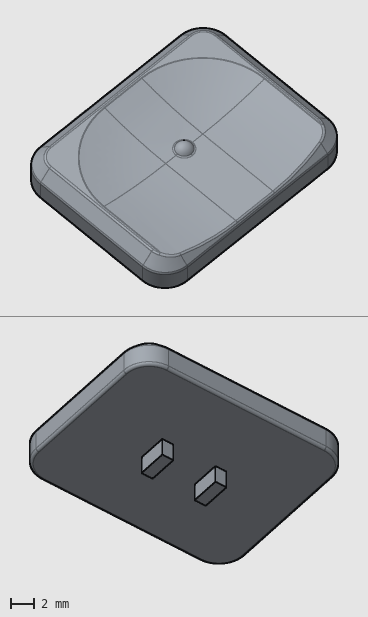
import cadquery as cq
import math

LENGTH_X = 18.0
LENGTH_Y = 22.5
BODY_HEIGHT = 3.5
CORNER_RADIUS = 2.75
TOP_CHAMFER = 1.2
EDGE_RADIUS = 0.3

DISH_DEPTH = 0.9
DISH_RADIUS = 7.5
DISH_HALF_FLAT = 2.25
DISH_ARC_RADIUS = (DISH_RADIUS**2 + DISH_DEPTH**2) / (2 * DISH_DEPTH)
DISH_FLOOR = BODY_HEIGHT - DISH_DEPTH

DOT_SPHERE_RADIUS = 1.0
DOT_HEIGHT = 0.56
DOT_TOP = DISH_FLOOR + DOT_HEIGHT
DOT_FILLET = 0.18

LEG_X = 2.97
LEG_Y = 1.2
LEG_HEIGHT = 1.82
LEG_SPACING = 5.74

TOLERANCE = 0.002


def make_body():
    """Rounded block with a chamfered top edge."""
    return (
        cq.Workplane("XY")
        .box(LENGTH_X, LENGTH_Y, BODY_HEIGHT, centered=(True, True, False))
        .edges("|Z").fillet(CORNER_RADIUS)
        .faces(">Z").edges().chamfer(TOP_CHAMFER)
    )


def half_bowl_profile(plane):
    """Half section of the dish: deepest at local x = 0 and rising along local -X to the top."""
    half_angle = math.asin(DISH_RADIUS / DISH_ARC_RADIUS) / 2
    middle = (
        -DISH_ARC_RADIUS * math.sin(half_angle),
        DISH_FLOOR + DISH_ARC_RADIUS * (1 - math.cos(half_angle)),
    )
    return (
        plane.moveTo(0, DISH_FLOOR)
        .threePointArc(middle, (-DISH_RADIUS, BODY_HEIGHT))
        .lineTo(0, BODY_HEIGHT)
        .close()
    )


def make_dish():
    """Cutter for the dish, built from bowl quarters, a trough between them and the run-out to +X."""
    trough = half_bowl_profile(cq.Workplane("XZ")).extrude(DISH_HALF_FLAT, both=True)
    run_out = (
        cq.Workplane("XY", origin=(0, 0, DISH_FLOOR))
        .box(LENGTH_X / 2, 2 * DISH_HALF_FLAT, DISH_DEPTH, centered=(False, True, False))
    )
    dish = trough.union(run_out)

    bowl = half_bowl_profile(cq.Workplane("XZ")).revolve(90, (0, 0), (0, 1))
    slope = half_bowl_profile(cq.Workplane("YZ")).extrude(LENGTH_X / 2)
    front_side = bowl.union(slope).translate((0, -DISH_HALF_FLAT, 0))
    return dish.union(front_side).union(front_side.mirror("XZ"))


def make_dot():
    """Sphere sunk into the dish floor so that only its cap stands proud."""
    return cq.Workplane("XY").sphere(DOT_SPHERE_RADIUS).translate((0, 0, DOT_TOP - DOT_SPHERE_RADIUS))


def make_legs():
    """Two rectangular legs spaced along Y, hanging from the underside."""
    return (
        cq.Workplane("XY")
        .pushPoints([(0, -LEG_SPACING / 2), (0, LEG_SPACING / 2)])
        .rect(LEG_X, LEG_Y)
        .extrude(-LEG_HEIGHT)
    )


def is_outer_edge(edge):
    """True for the level edges around the body and dish, and the rim where the dish runs out at +X."""
    bounds = edge.BoundingBox()
    level = bounds.zlen < TOLERANCE and abs(bounds.zmin - DISH_FLOOR) > TOLERANCE
    at_run_out = edge.Center().x > LENGTH_X / 2 - CORNER_RADIUS
    run_out_rim = at_run_out and bounds.zmin > DISH_FLOOR - TOLERANCE and bounds.ylen > TOLERANCE
    return level or run_out_rim


def is_dot_edge(edge):
    """True for the edges where the dot meets the dish floor."""
    bounds = edge.BoundingBox()
    reach = max(-bounds.xmin, bounds.xmax, -bounds.ymin, bounds.ymax)
    near_floor = bounds.zmin > DISH_FLOOR - TOLERANCE and bounds.zmax < DISH_FLOOR + DOT_HEIGHT / 2
    return reach < DOT_SPHERE_RADIUS and near_floor


cap = make_body().cut(make_dish())
cap = cap.edges().filter(is_outer_edge).fillet(EDGE_RADIUS)
cap = cap.union(make_dot())
cap = cap.edges().filter(is_dot_edge).fillet(DOT_FILLET)
result = cap.union(make_legs())